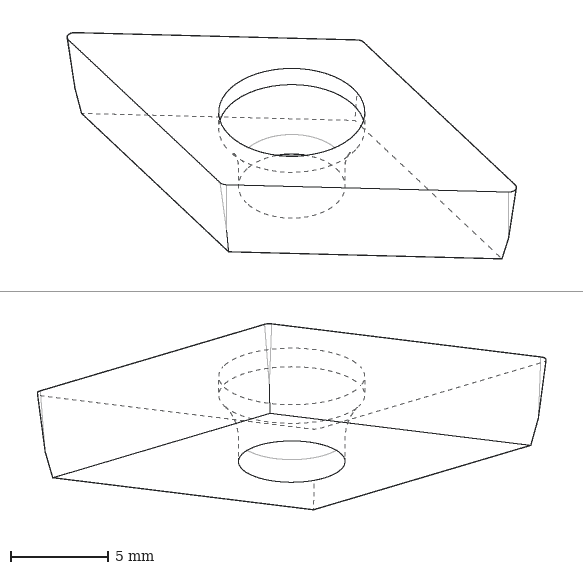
import cadquery as cq
import math

inscribed_diameter = 12.7
thickness = 4.75
corner_angle = math.radians(55)
clearance_angle = 7
corner_radius = 0.4

mouth_radius = 3.76
mouth_depth = 1.05
bore_radius = 2.75
seat_radius = 3.45

cone_tip_radius = 0.005
cutter_reach = 2.0


def rhombus_corners(width):
    """Corners of a rhombus with the given distance between opposite sides."""
    half_width = width / 2
    side = width / math.sin(corner_angle)
    lean = half_width / math.tan(corner_angle)
    return [
        (-side / 2 - lean, -half_width),
        (side / 2 - lean, -half_width),
        (side / 2 + lean, half_width),
        (-side / 2 + lean, half_width),
    ]


def make_body():
    return (
        cq.Workplane("XY", origin=(0, 0, thickness))
        .polyline(rhombus_corners(inscribed_diameter))
        .close()
        .extrude(-thickness, taper=clearance_angle)
    )


def corner_cutter(corner, center):
    """Waste outside the corner cone, whose radius shrinks until it meets the sharp lower edge."""
    cone_height = (corner_radius - cone_tip_radius) / math.tan(math.radians(clearance_angle))
    dx = corner[0] - center[0]
    dy = corner[1] - center[1]
    distance = math.hypot(dx, dy)
    direction = math.atan2(dy, dx)
    half_spread = math.acos(corner_radius / distance)

    def point(length, angle):
        return (center[0] + length * math.cos(angle), center[1] + length * math.sin(angle))

    wedge = (
        cq.Workplane("XY", origin=(0, 0, thickness - cone_height))
        .polyline([
            center,
            point(cutter_reach * corner_radius, direction - half_spread),
            point(cutter_reach * distance, direction),
            point(cutter_reach * corner_radius, direction + half_spread),
        ])
        .close()
        .extrude(cone_height)
    )
    cone = cq.Solid.makeCone(
        corner_radius, cone_tip_radius, cone_height, cq.Vector(*center, thickness), cq.Vector(0, 0, -1)
    )
    return wedge.cut(cq.Workplane(obj=cone))


def make_screw_hole():
    mouth_bottom = thickness - mouth_depth
    arc_center_radius = bore_radius + seat_radius
    start_angle = math.acos((arc_center_radius - mouth_radius) / seat_radius)
    seat_bottom = mouth_bottom - seat_radius * math.sin(start_angle)
    arc_middle = (
        arc_center_radius - seat_radius * math.cos(start_angle / 2),
        seat_bottom + seat_radius * math.sin(start_angle / 2),
    )
    return (
        cq.Workplane("XZ")
        .moveTo(0, 0)
        .lineTo(bore_radius, 0)
        .lineTo(bore_radius, seat_bottom)
        .threePointArc(arc_middle, (mouth_radius, mouth_bottom))
        .lineTo(mouth_radius, thickness)
        .lineTo(0, thickness)
        .close()
        .revolve(360, (0, 0, 0), (0, 1, 0))
    )


result = make_body()
sharp_corners = rhombus_corners(inscribed_diameter)
round_centers = rhombus_corners(inscribed_diameter - 2 * corner_radius)
for sharp_corner, round_center in zip(sharp_corners, round_centers):
    result = result.cut(corner_cutter(sharp_corner, round_center))
result = result.cut(make_screw_hole())